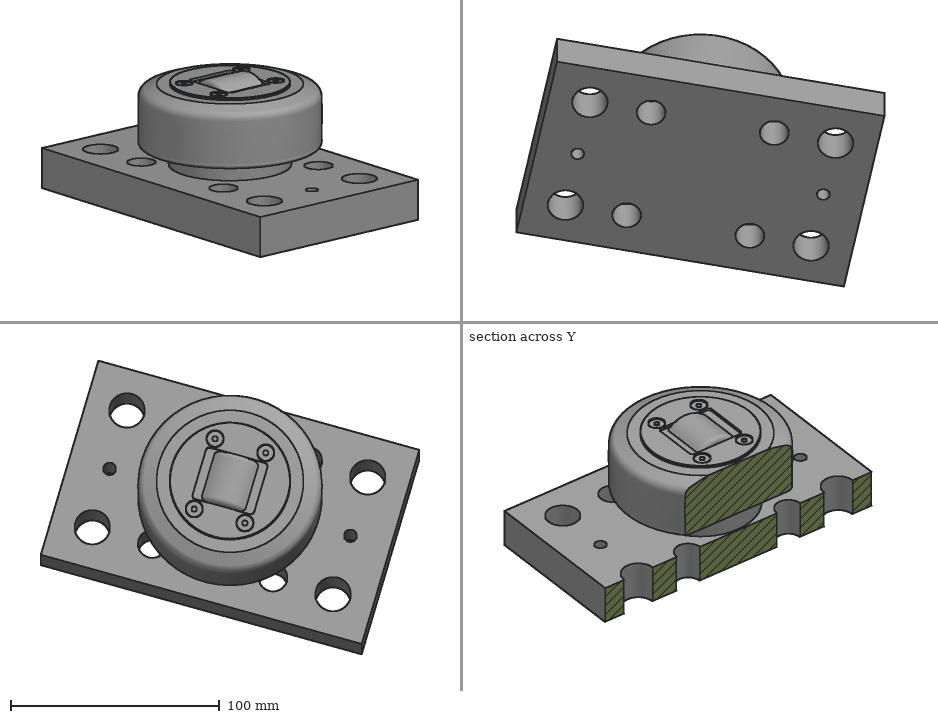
import cadquery as cq

plate_length = 160.0
plate_width = 100.0
plate_height = 20.0
mount_hole_diameter = 17.0
inner_hole_diameter = 13.8
pin_hole_diameter = 6.0
mount_hole_x = 60.0
inner_hole_x = 30.0
hole_y = 30.0

stem_diameter = 59.0

ring_bottom = 29.8
rim_bottom = 32.0
rim_top = 53.8
shoulder_bottom = 57.6
ring_top = 59.8
rim_radius = 44.0
rim_crown = 0.2
ring_bottom_radius = 42.4
shoulder_radius = 41.6
ring_top_radius = 35.2

cap_diameter = 58.0
cap_top = 61.0
cap_chamfer = 0.3
pocket_length = 30.7
pocket_width = 26.5
pocket_depth = 1.3
pocket_corner_radius = 2.0

overall_height = 64.0
roller_radius = 16.0
roller_length = 26.2
roller_edge_radius = 2.5

screw_x = 12.6
screw_y = 18.0
screw_seat_diameter = 8.3
screw_head_diameter = 7.8
screw_recess = 0.3
screw_head_gap_depth = 0.6
screw_socket_diameter = 2.5
screw_socket_depth = 0.3


def four_corners(x, y):
    return [(sx * x, sy * y) for sx in (-1, 1) for sy in (-1, 1)]


def disc(diameter, bottom, top, points=((0, 0),)):
    """Upright cylinders between two heights, one at each point."""
    return (
        cq.Workplane("XY", origin=(0, 0, bottom))
        .pushPoints(points)
        .circle(diameter / 2)
        .extrude(top - bottom)
    )


def make_plate():
    plate = cq.Workplane("XY").box(
        plate_length, plate_width, plate_height, centered=(True, True, False)
    )
    mount_points = four_corners(mount_hole_x, hole_y)
    inner_points = four_corners(inner_hole_x, hole_y)
    pin_points = [(-mount_hole_x, 0), (mount_hole_x, 0)]
    plate = plate.cut(disc(mount_hole_diameter, 0, plate_height, mount_points))
    plate = plate.cut(disc(inner_hole_diameter, 0, plate_height, inner_points))
    return plate.cut(disc(pin_hole_diameter, 0, plate_height, pin_points))


def make_ring():
    rim_middle = (rim_bottom + rim_top) / 2
    profile = (
        cq.Workplane("XZ")
        .moveTo(0, ring_bottom)
        .lineTo(ring_bottom_radius, ring_bottom)
        .tangentArcPoint((rim_radius, rim_bottom), relative=False)
        .threePointArc((rim_radius + rim_crown, rim_middle), (rim_radius, rim_top))
        .tangentArcPoint((shoulder_radius, shoulder_bottom), relative=False)
        .lineTo(ring_top_radius, ring_top)
        .lineTo(0, ring_top)
        .close()
    )
    return profile.revolve(360, (0, 0, 0), (0, 1, 0))


def make_pocket():
    return (
        cq.Workplane("XY", origin=(0, 0, cap_top - pocket_depth))
        .rect(pocket_length, pocket_width)
        .extrude(pocket_depth)
        .edges("|Z")
        .fillet(pocket_corner_radius)
    )


def make_roller():
    """Only the part of the roller above the pocket floor is kept."""
    roller = (
        cq.Workplane("XZ", origin=(0, 0, overall_height - roller_radius))
        .circle(roller_radius)
        .extrude(roller_length / 2, both=True)
        .faces("<Y or >Y")
        .edges()
        .fillet(roller_edge_radius)
    )
    floor = cap_top - pocket_depth
    return roller.intersect(disc(cap_diameter, floor, overall_height))


def cut_screws(body):
    points = four_corners(screw_x, screw_y)
    head_top = cap_top - screw_recess
    seats = disc(screw_seat_diameter, cap_top - screw_head_gap_depth, cap_top, points)
    heads = disc(screw_head_diameter, cap_top - screw_head_gap_depth, head_top, points)
    sockets = disc(screw_socket_diameter, head_top - screw_socket_depth, head_top, points)
    return body.cut(seats).union(heads).cut(sockets)


stem = disc(stem_diameter, plate_height, ring_bottom)
cap = disc(cap_diameter, ring_top, cap_top).faces(">Z").chamfer(cap_chamfer)

body = make_plate().union(stem).union(make_ring()).union(cap)
body = cut_screws(body.cut(make_pocket()))
result = body.union(make_roller())